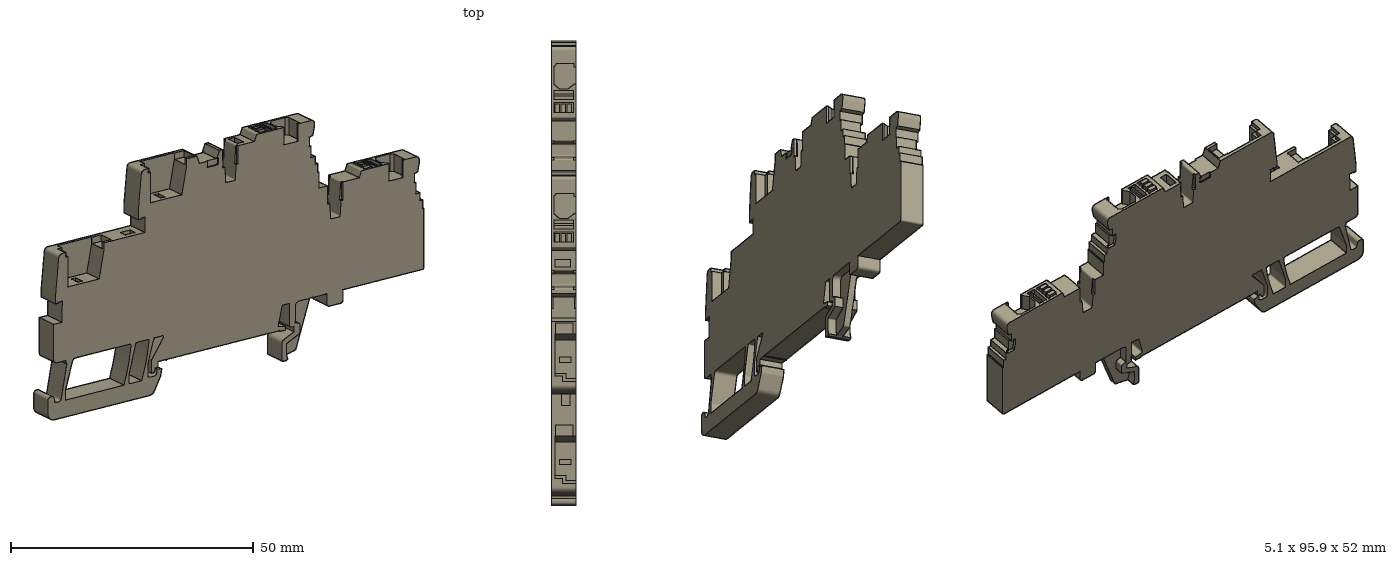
import cadquery as cq
import math

LENGTH = 95.9
WIDTH = 5.1
BODY_BOTTOM = 12.5
EMBEDDED = BODY_BOTTOM + 0.5
RAIL_FACE = 7.0
RAIL_LIP = RAIL_FACE - 0.2
LOWER_DECK = 36.3
TIER_RISE = 13.9
UPPER_DECK = LOWER_DECK + TIER_RISE
NOTCH_FLOOR = UPPER_DECK - 1.7
CAP_TOP = LOWER_DECK + 1.4
BACK_SHIFT = 26.8
FRONT_SHIFT = 21.1
FUSE_OVERLAP = 0.1
OVERCUT = 1.0

LOWER_CLAMP = (0.0, 0.0)
UPPER_CLAMP = (BACK_SHIFT, TIER_RISE)
LOWER_PLUG = (FRONT_SHIFT, 0.0)
UPPER_PLUG = (0.0, TIER_RISE)


def shifted(points, offset):
    """Move profile points (s, z[, radius]) by (ds, dz)."""
    return [(p[0] + offset[0], p[1] + offset[1], *p[2:]) for p in points]


def prism(points, x_start=0.0, x_end=WIDTH):
    """Extrude a closed profile along X; a third value on a point rounds that corner."""
    corners = [(LENGTH / 2 - p[0], p[1], p[2] if len(p) > 2 else 0.0) for p in points]
    path = None
    for index, (y, z, radius) in enumerate(corners):
        before = corners[index - 1]
        after = corners[(index + 1) % len(corners)]
        corner = cq.Vector(y, z, 0)
        to_before = (cq.Vector(before[0], before[1], 0) - corner).normalized()
        to_after = (cq.Vector(after[0], after[1], 0) - corner).normalized()
        half_angle = to_before.getAngle(to_after) / 2
        setback = radius / math.tan(half_angle)
        start = corner + to_before * setback
        if path is None:
            path = cq.Workplane("YZ", origin=(x_start - WIDTH / 2, 0, 0)).moveTo(start.x, start.y)
        else:
            path = path.lineTo(start.x, start.y)
        if radius > 0:
            bisector = (to_before + to_after).normalized()
            middle = corner + bisector * (radius / math.sin(half_angle) - radius)
            end = corner + to_after * setback
            path = path.threePointArc((middle.x, middle.y), (end.x, end.y))
    return path.close().extrude(x_end - x_start)


def box(s_range, x_range, z_range):
    """Axis-aligned block from (s, x, z) ranges, with x measured from the -X face."""
    (s0, s1), (z0, z1) = s_range, z_range
    return prism([(s0, z0), (s1, z0), (s1, z1), (s0, z1)], *x_range)


CLAMP_EDGE = [
    (0.0, 25.9), (0.3, 25.9), (0.3, 27.8), (1.0, 27.8), (1.0, 29.5), (2.0, 29.5), (2.0, 32.0),
    (2.4, 32.0), (2.4, 34.1), (1.5, 34.3), (1.15, 36.3), (1.15, CAP_TOP, 0.9),
    (15.9, CAP_TOP, 0.2), (16.5, LOWER_DECK),
]
SLOT_FLOOR = 28.8
CLAMP_SLOT = [
    (20.8, LOWER_DECK, 0.4), (21.4, SLOT_FLOOR, 0.3), (23.8, SLOT_FLOOR, 0.3), (24.4, LOWER_DECK, 0.4),
]
SLOT_RELIEF = [
    (20.6, LOWER_DECK + OVERCUT), (20.6, 32.2), (24.6, 32.2), (24.6, LOWER_DECK + OVERCUT),
]
RELIEF_WIDTH = 0.6
PLUG_END = [
    (72.0, LOWER_DECK, 1.0), (72.9, 27.3), (72.9, 25.5), (72.1, 25.5), (72.1, 25.7), (71.2, 25.7),
]
MARKER_NOTCH = [(52.2, UPPER_DECK), (52.9, NOTCH_FLOOR), (57.3, NOTCH_FLOOR), (57.9, UPPER_DECK)]
RAIL_HOOK = [
    (66.2, BODY_BOTTOM, 0.3), (69.55, 7.7, 0.5), (69.55, 4.8), (69.0, 4.8),
    (68.5, 5.8), (67.8, 5.8), (67.8, RAIL_FACE),
]
SPRING_SLOT = [
    (35.3, RAIL_LIP), (35.3, 7.7), (37.2, 8.0, 0.3), (36.2, BODY_BOTTOM, 0.3),
]

body_outline = (
    [(0.0, BODY_BOTTOM, 0.4)]
    + shifted(CLAMP_EDGE, LOWER_CLAMP)
    + shifted(CLAMP_SLOT, LOWER_CLAMP)
    + [(BACK_SHIFT, LOWER_DECK)]
    + shifted(CLAMP_EDGE, UPPER_CLAMP)
    + shifted(CLAMP_SLOT, UPPER_CLAMP)
    + MARKER_NOTCH
    + shifted(PLUG_END, UPPER_PLUG)
    + [(71.2, LOWER_DECK)]
    + shifted(PLUG_END, LOWER_PLUG)
    + [(92.4, 21.1), (94.5, 21.1), (94.5, BODY_BOTTOM, 0.8)]
    + RAIL_HOOK
    + [(65.8, RAIL_FACE), (65.7, RAIL_LIP), (65.6, RAIL_FACE)]
    + [(36.8, RAIL_FACE), (36.7, RAIL_LIP)]
    + SPRING_SLOT
)
body = prism(body_outline)

locating_tab = prism([
    (20.6, BODY_BOTTOM), (20.6, 9.6, 0.7), (24.75, 9.6, 0.7), (24.75, BODY_BOTTOM),
])

SPRING_STRIP = [
    (31.5, EMBEDDED), (31.5, BODY_BOTTOM), (32.8, BODY_BOTTOM, 1.0), (32.8, 7.9), (31.7, 7.5, 0.3),
    (31.7, 5.3), (35.1, 3.7, 0.3), (35.1, 1.7), (34.7, 0.3), (35.2, 0.0), (36.3, 0.0, 0.4),
    (36.3, 4.6, 1.15), (33.1, 5.9), (33.1, 7.0), (34.2, 7.3, 0.3), (34.3, EMBEDDED),
]
SPRING_WEB = [
    (26.9, EMBEDDED), (26.9, BODY_BOTTOM), (27.5, BODY_BOTTOM, 0.5), (31.4, 1.1, 0.4),
    (34.9, 0.2), (35.5, 4.0), (32.4, 5.5), (32.4, 7.5), (33.6, 7.9), (33.6, EMBEDDED),
]
WEB_INSET = 1.8
spring_foot = prism(SPRING_STRIP).union(prism(SPRING_WEB, WEB_INSET, WIDTH - WEB_INSET))

BAR_TOP = 3.7
LEG_BEND = 34.5
FOOT_OUTLINE = [
    (69.1, EMBEDDED), (68.8, BODY_BOTTOM), (69.2, 11.6), (70.4, 7.1), (70.4, 4.0, 0.6),
    (68.1, 4.0, 0.9), (68.1, 5.5), (66.9, 5.3, 0.2), (67.15, 3.7, 1.0), (69.2, 0.0, 1.5), (LENGTH, 0.0, 1.6),
    (LENGTH, 5.3, 0.7), (94.5, 5.3, 0.6), (94.1, BAR_TOP, 0.3), (92.7, BAR_TOP, 0.7),
    (91.1, 11.6), (91.4, BODY_BOTTOM), (91.4, EMBEDDED),
]
REAR_WINDOW = [
    (70.1, BODY_BOTTOM, 0.4), (73.5, BODY_BOTTOM, 0.4), (75.2, 6.0), (75.2, BAR_TOP, 0.3),
    (72.0, BAR_TOP), (70.6, 8.25, LEG_BEND),
]
FRONT_WINDOW = [
    (74.7, BODY_BOTTOM, 0.4), (89.5, BODY_BOTTOM, 0.8), (91.4, 5.9), (91.4, BAR_TOP),
    (76.6, BAR_TOP), (75.1, 8.8, LEG_BEND),
]
fixed_foot = prism(FOOT_OUTLINE).cut(prism(REAR_WINDOW)).cut(prism(FRONT_WINDOW))


BUTTON_RECESS_DEPTH = 3.8
ACTUATOR_DEPTH = 1.3
ACTUATOR_X = (0.6, 4.5)
SIDE_RECESS_DEPTH = 0.6
LOW_RIB_DROP = 0.3
TOOTH_WIDTH = 0.9
TOOTH_RISE = 0.4


def translated(solid, offset):
    """Move a solid from the lower clamp or upper plug position by (ds, dz)."""
    return solid.translate((0, -offset[0], offset[1]))


def clamp_recesses():
    """Cutters for the lower clamp cap: slot edges, button, actuator pocket and side recess."""
    floor = CAP_TOP - BUTTON_RECESS_DEPTH
    button = (
        cq.Workplane("XY", origin=(0, 0, floor))
        .polyline([
            (x - WIDTH / 2, LENGTH / 2 - s)
            for s, x in [(4.7, 1.1), (4.7, 4.7), (8.9, 4.7), (9.9, 3.5), (9.9, 1.6), (8.9, 0.5), (5.4, 0.5)]
        ])
        .close()
        .extrude(BUTTON_RECESS_DEPTH + OVERCUT)
    )
    side_opening = box((5.4, 8.9), (4.3, WIDTH + OVERCUT), (floor, CAP_TOP + OVERCUT))
    actuator = box((10.3, 14.8), ACTUATOR_X, (CAP_TOP - ACTUATOR_DEPTH, CAP_TOP + OVERCUT))
    side_recess = prism(
        [(1.4, 29.2), (3.1, 29.2), (3.4, 30.5), (3.4, 32.0), (1.4, 32.0)], -OVERCUT, SIDE_RECESS_DEPTH
    )
    slot_edges = prism(SLOT_RELIEF, -OVERCUT, RELIEF_WIDTH)
    slot_edges = slot_edges.union(prism(SLOT_RELIEF, WIDTH - RELIEF_WIDTH, WIDTH + OVERCUT))
    return slot_edges.union(button).union(side_opening).union(actuator).union(side_recess)


def clamp_actuator():
    """Cross ribs and toothed bar that stand in the lower clamp's actuator pocket."""
    floor = CAP_TOP - ACTUATOR_DEPTH - FUSE_OVERLAP
    ribs = box((10.9, 11.3), ACTUATOR_X, (floor, CAP_TOP - LOW_RIB_DROP))
    ribs = ribs.union(box((12.1, 12.7), ACTUATOR_X, (floor, CAP_TOP)))
    for tooth_start in (0.8, 2.0, 3.3):
        tooth = box((13.0, 14.8), (tooth_start, tooth_start + TOOTH_WIDTH), (floor, CAP_TOP + TOOTH_RISE))
        ribs = ribs.union(tooth)
    return ribs


SIDE_WALL = 0.72
WINDOW_DEPTH = 1.4
OPENING_DEPTH = 7.7
CONTACT_DEPTH = 1.0
RIM_DEPTH = 1.0


def plug_recesses():
    """Cutters for a plug opening, placed at the upper opening's s and the lower deck's height."""
    above = LOWER_DECK + OVERCUT
    window_floor = LOWER_DECK - WINDOW_DEPTH
    opening_floor = LOWER_DECK - OPENING_DEPTH
    window = box((58.2, 60.5), (0.9, 4.4), (window_floor, above))
    opening = prism(
        [(60.5, above), (60.5, window_floor), (61.8, opening_floor),
         (68.7, opening_floor), (68.7, above)],
        SIDE_WALL, WIDTH + OVERCUT,
    )
    latch_step = box((68.6, 69.7), (3.0, WIDTH + OVERCUT), (opening_floor, above))
    rim = box((68.6, 69.3), (SIDE_WALL, WIDTH + OVERCUT), (LOWER_DECK - RIM_DEPTH, above))
    latch_rim = box((68.6, 70.3), (2.3, WIDTH + OVERCUT), (LOWER_DECK - RIM_DEPTH, above))
    contact_slot = box((65.3, 66.4), (1.68, 4.0), (opening_floor - CONTACT_DEPTH, opening_floor + OVERCUT))
    return window.union(opening).union(latch_step).union(rim).union(latch_rim).union(contact_slot)


TEST_HOLE_DEPTH = 2.9
rear_test_hole = box((45.2, 46.7), (0.8, 3.9), (UPPER_DECK - TEST_HOLE_DEPTH, UPPER_DECK + OVERCUT))
front_test_hole = box((72.8, 75.3), (2.1, 3.8), (LOWER_DECK - TEST_HOLE_DEPTH, LOWER_DECK + OVERCUT))
NOTCH_RECESS = [
    (52.5, NOTCH_FLOOR + FUSE_OVERLAP), (52.5, 47.1, 0.4), (55.3, 47.1), (55.3, NOTCH_FLOOR + FUSE_OVERLAP),
]
NOTCH_RECESS_DEPTH = 0.3
notch_recesses = prism(NOTCH_RECESS, -OVERCUT, NOTCH_RECESS_DEPTH).union(
    prism(NOTCH_RECESS, WIDTH - NOTCH_RECESS_DEPTH, WIDTH + OVERCUT)
)

result = body.union(locating_tab).union(spring_foot).union(fixed_foot)
for clamp in (LOWER_CLAMP, UPPER_CLAMP):
    result = result.cut(translated(clamp_recesses(), clamp))
    result = result.union(translated(clamp_actuator(), clamp))
for plug in (LOWER_PLUG, UPPER_PLUG):
    result = result.cut(translated(plug_recesses(), plug))
result = result.cut(rear_test_hole).cut(front_test_hole).cut(notch_recesses)